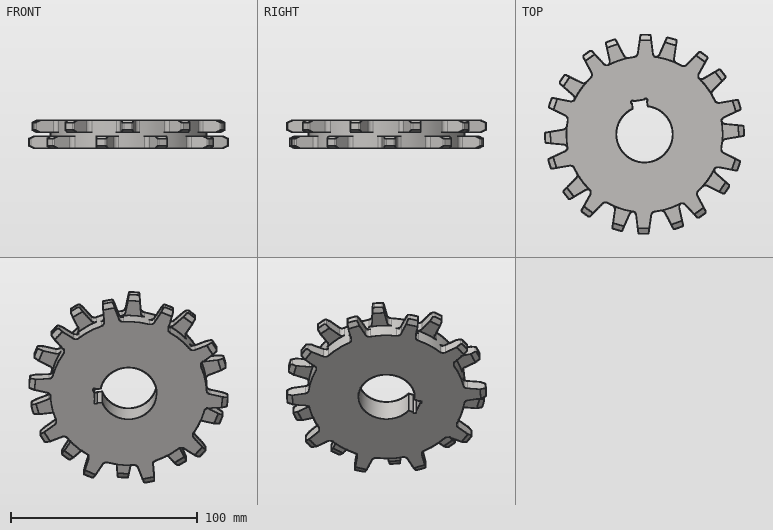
import cadquery as cq
import math

overall_height = 15.0
tip_radius = 53.3
root_radius = 41.8
row_thickness = 6.5

teeth_per_row = 10
tooth_pitch_angle = 360 / teeth_per_row
tip_half_width = 2.8
flank_angle = 7.5
tooth_overlap = 4.3
tip_corner_fillet = 0.9
root_fillet = 2.3
lower_row_angle = 2.0
upper_row_angle = 17.4

bevel_length = 3.0
bevel_depth = 1.4

bore_radius = 15.0
key_width = 8.0
key_floor_radius = 18.3
key_angle = 9.0
relief_radius = 0.9
relief_inset = 0.4


def turned(body, angle):
    """Body rotated about the sprocket axis."""
    return body.rotate((0, 0, 0), (0, 0, 1), angle)


def tooth():
    """One tooth with unrounded corners along +X, rooted inside the disc."""
    inner_radius = root_radius - tooth_overlap
    taper = math.tan(math.radians(flank_angle))
    inner_half_width = tip_half_width + (tip_radius - inner_radius) * taper
    tip_x = math.sqrt(tip_radius**2 - tip_half_width**2)
    outline = (
        cq.Workplane("XY")
        .moveTo(inner_radius, -inner_half_width)
        .lineTo(tip_x, -tip_half_width)
        .threePointArc((tip_radius, 0), (tip_x, tip_half_width))
        .lineTo(inner_radius, inner_half_width)
        .close()
    )
    return outline.extrude(row_thickness)


def tip_bevel():
    """Wedge removed from the upper side of a tooth tip."""
    corner = [
        (tip_radius - bevel_length, row_thickness),
        (tip_radius, row_thickness - bevel_depth),
        (tip_radius, row_thickness),
    ]
    wedge = cq.Workplane("XZ").polyline(corner).close()
    return wedge.extrude(2 * tip_half_width, both=True)


def around_axis(body):
    """Copies of a body at every tooth position."""
    return [turned(body, i * tooth_pitch_angle) for i in range(teeth_per_row)]


def axis_distance(edge):
    """Distance of an edge's centre from the sprocket axis."""
    return math.hypot(edge.Center().x, edge.Center().y)


def tooth_row(start_angle):
    """Toothed disc standing on Z = 0, its first tooth at start_angle."""
    row = cq.Workplane("XY").circle(root_radius).extrude(row_thickness)
    for copy in around_axis(tooth()):
        row = row.union(copy)

    middle_radius = (root_radius + tip_radius) / 2
    row = row.edges("|Z").filter(lambda edge: axis_distance(edge) < middle_radius).fillet(root_fillet)
    row = row.edges("|Z").filter(lambda edge: axis_distance(edge) > middle_radius).fillet(tip_corner_fillet)

    upper_bevel = tip_bevel()
    lower_bevel = upper_bevel.mirror("XY", (0, 0, row_thickness / 2))
    for copy in around_axis(upper_bevel) + around_axis(lower_bevel):
        row = row.cut(copy)
    return turned(row, start_angle)


def bore_with_keyway():
    """Through bore with a keyway whose two floor corners are relieved."""
    bore = cq.Workplane("XY").circle(bore_radius).extrude(overall_height)
    slot = cq.Workplane("XY").center(0, key_floor_radius / 2).rect(key_width, key_floor_radius)
    relief_x = key_width / 2 - relief_inset
    relief_y = key_floor_radius - relief_inset
    reliefs = cq.Workplane("XY").pushPoints([(-relief_x, relief_y), (relief_x, relief_y)])
    keyway = slot.extrude(overall_height).union(reliefs.circle(relief_radius).extrude(overall_height))
    return bore.union(turned(keyway, key_angle))


hub = cq.Workplane("XY").circle(root_radius).extrude(overall_height)
lower_row = tooth_row(lower_row_angle)
upper_row = tooth_row(upper_row_angle).translate((0, 0, overall_height - row_thickness))
result = hub.union(lower_row).union(upper_row).cut(bore_with_keyway())